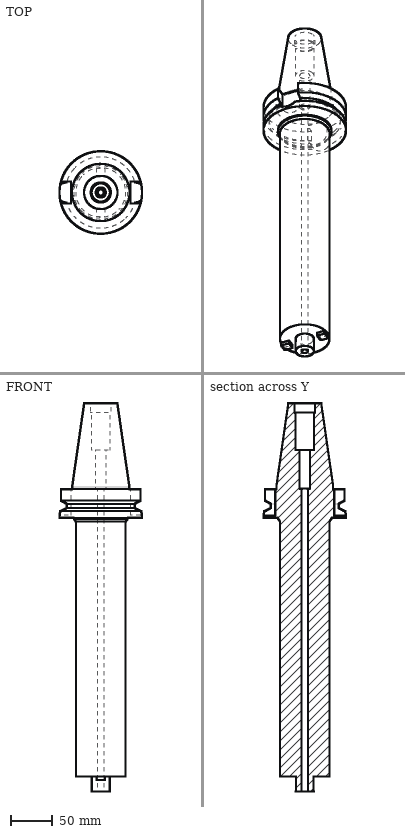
import cadquery as cq

total_height = 470.0
flange_radius = 50.05

taper_top_radius = 20.0
taper_base_radius = 35.0
taper_length = 101.0
collar_height = 3.0

upper_rim_height = 14.0
groove_side_height = 3.8
groove_floor_height = 5.0
groove_floor_radius = 43.0
lower_rim_height = 8.0
neck_height = 4.5
neck_collar_height = 1.5
neck_top_radius = 32.5

body_radius = 30.0
body_bottom_z = 18.5
pin_radius = 11.05

slot_width = 26.5
slot_floor_x = 35.5
slot_bottom_z = 334.5

key_size = 10.5
key_height = 4.0
key_inner_y = 19.0

thread_radius = 12.0
thread_relief_radius = 11.05
thread_depth = 11.5
relief_depth = 56.5
coolant_step_radius = 6.0
coolant_step_depth = 103.5
coolant_radius = 3.8

taper_base_z = total_height - taper_length
flange_top_z = taper_base_z - collar_height
groove_top_z = flange_top_z - upper_rim_height
floor_top_z = groove_top_z - groove_side_height
floor_bottom_z = floor_top_z - groove_floor_height
groove_bottom_z = floor_bottom_z - groove_side_height
flange_bottom_z = groove_bottom_z - lower_rim_height
neck_bottom_z = flange_bottom_z - neck_height


def make_turned_body():
    """Revolve the half section, drawn as (radius, height), about Z."""
    half_section = [
        (0, 0),
        (pin_radius, 0),
        (pin_radius, body_bottom_z),
        (body_radius, body_bottom_z),
        (body_radius, neck_bottom_z),
        (neck_top_radius, flange_bottom_z - neck_collar_height),
        (neck_top_radius, flange_bottom_z),
        (flange_radius, flange_bottom_z),
        (flange_radius, groove_bottom_z),
        (groove_floor_radius, floor_bottom_z),
        (groove_floor_radius, floor_top_z),
        (flange_radius, groove_top_z),
        (flange_radius, flange_top_z),
        (taper_base_radius, flange_top_z),
        (taper_base_radius, taper_base_z),
        (taper_top_radius, total_height),
        (0, total_height),
    ]
    return cq.Workplane("XZ").polyline(half_section).close().revolve(360, (0, 0), (0, 1))


def make_drive_slot(side):
    """Round-bottomed slot, open at the flange top; side is +1 or -1 along X."""
    half_width = slot_width / 2
    arc_center_z = slot_bottom_z + half_width
    return (
        cq.Workplane("YZ", origin=(side * slot_floor_x, 0, 0))
        .moveTo(-half_width, flange_top_z)
        .lineTo(-half_width, arc_center_z)
        .threePointArc((0, slot_bottom_z), (half_width, arc_center_z))
        .lineTo(half_width, flange_top_z)
        .close()
        .extrude(side * flange_radius)
    )


def make_drive_key(side):
    """Square key hanging below the body; side is +1 or -1 along Y."""
    key_center_y = side * (key_inner_y + key_size / 2)
    return (
        cq.Workplane("XY", origin=(0, key_center_y, body_bottom_z))
        .rect(key_size, key_size)
        .extrude(-key_height)
    )


def make_bore(radius, depth):
    """Axial bore of the given depth, entered from the taper end."""
    return cq.Workplane("XY", origin=(0, 0, total_height)).circle(radius).extrude(-depth)


result = make_turned_body()
for side in (-1, 1):
    result = result.cut(make_drive_slot(side))
    result = result.union(make_drive_key(side))

bore_steps = [
    (thread_radius, thread_depth),
    (thread_relief_radius, relief_depth),
    (coolant_step_radius, coolant_step_depth),
    (coolant_radius, total_height),
]
for radius, depth in bore_steps:
    result = result.cut(make_bore(radius, depth))